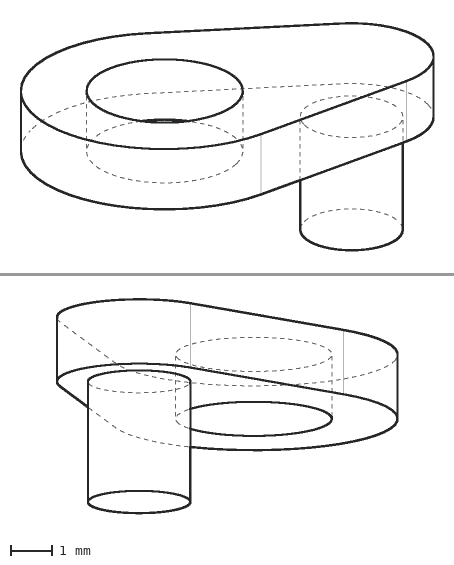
import cadquery as cq
import math

overall_length = 10.49
large_end_diameter = 7.0
center_distance = 4.99
plate_thickness = 1.6
bore_diameter = 3.8
pin_diameter = 2.5
pin_length = 3.0

large_radius = large_end_diameter / 2
small_radius = overall_length - large_radius - center_distance

tangent_angle = math.asin((large_radius - small_radius) / center_distance)


def tangent_point(radius, center_y, side):
    """Point where a flank touches an end arc; side is +1 or -1 along X."""
    x = side * radius * math.cos(tangent_angle)
    y = center_y + radius * math.sin(tangent_angle)
    return (x, y)


def make_plate():
    """Teardrop plate: two end arcs joined by straight tangent flanks."""
    return (
        cq.Workplane("XY")
        .moveTo(*tangent_point(large_radius, 0, 1))
        .lineTo(*tangent_point(small_radius, center_distance, 1))
        .threePointArc(
            (0, center_distance + small_radius),
            tangent_point(small_radius, center_distance, -1),
        )
        .lineTo(*tangent_point(large_radius, 0, -1))
        .threePointArc((0, -large_radius), tangent_point(large_radius, 0, 1))
        .close()
        .extrude(plate_thickness)
    )


def make_bore():
    """Through hole concentric with the large end."""
    return cq.Workplane("XY").circle(bore_diameter / 2).extrude(plate_thickness)


def make_pin():
    """Pin hanging below the plate, concentric with the small end."""
    return (
        cq.Workplane("XY")
        .center(0, center_distance)
        .circle(pin_diameter / 2)
        .extrude(-pin_length)
    )


result = make_plate().cut(make_bore()).union(make_pin())